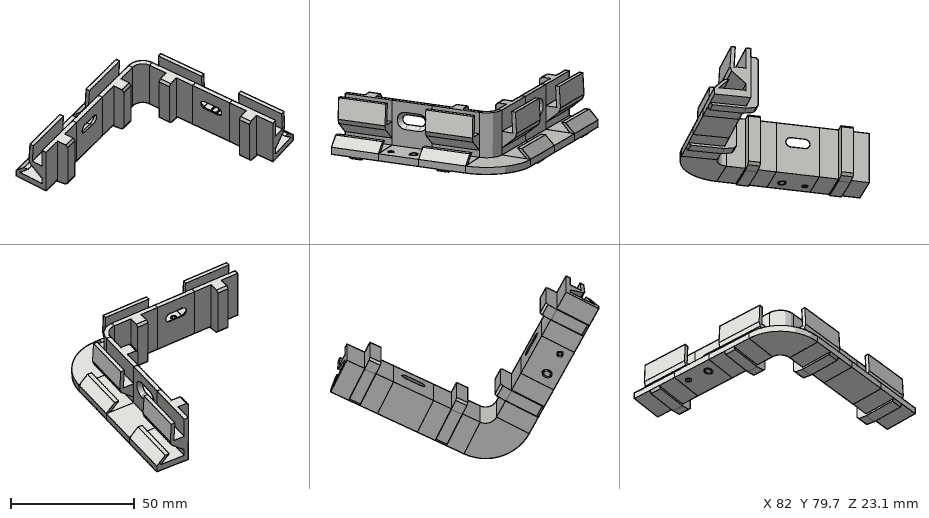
import cadquery as cq
import math

ARM_ANGLE = 92.0
OUTER_RADIUS = 20.0
INNER_RADIUS = 5.0
ARM_WIDTH = OUTER_RADIUS - INNER_RADIUS
ARM_LENGTH = 59.95
CLIP_LENGTH = 21.0
PANEL_LENGTH = ARM_LENGTH - 2 * CLIP_LENGTH

HEIGHT = 22.1
FLOOR_THICKNESS = 3.0
WALL_THICKNESS = 2.0
WALL_U = ARM_WIDTH - WALL_THICKNESS

LIP_WIDTH = 1.9
LIP_REACH = 4.0
LIP_TOP = FLOOR_THICKNESS + LIP_REACH

HOOK_TOP_U = 6.9
HOOK_WIDTH = 1.7
HOOK_LEAN = 0.5
HOOK_SLOT_FLOOR = 13.0
HOOK_HEEL_U = 7.05
HOOK_HEEL_Z = 11.1
BRACKET_ROOT_Z = 6.0

RIB_WIDTH = 5.0
RIB_DEPTH = 5.0
RIB_DROP = 1.0
RIB_CHAMFER = 1.0
RIB_TIP_DROP = 0.25

SLOT_Z = 14.0
SLOT_LENGTH = 10.0
SLOT_HEIGHT = 4.0
SINK_HEIGHT = 7.3

DISC_X = 35.6
DISC_U = 4.8
DISC_DIAMETER = 1.3
OVAL_X = 25.8
OVAL_U = 5.6
OVAL_SIZE_X = 2.2
OVAL_SIZE_Y = 2.95
ISLAND_GAP = 0.6


def extrude_section(points, start, length):
    """Extrude a closed (u, z) section along X, with the outer face of the arm at the outer radius."""
    section = [(OUTER_RADIUS - u, z) for u, z in points]
    return cq.Workplane("YZ", origin=(start, 0, 0)).polyline(section).close().extrude(length)


def floor_and_wall(start, length):
    points = [
        (0, 0),
        (ARM_WIDTH, 0),
        (ARM_WIDTH, HEIGHT),
        (WALL_U, HEIGHT),
        (WALL_U, FLOOR_THICKNESS),
        (0, FLOOR_THICKNESS),
    ]
    return extrude_section(points, start, length)


def lip(start):
    points = [
        (0, FLOOR_THICKNESS),
        (LIP_WIDTH, FLOOR_THICKNESS),
        (LIP_WIDTH + LIP_REACH, LIP_TOP),
        (LIP_REACH, LIP_TOP),
    ]
    return extrude_section(points, start, CLIP_LENGTH)


def hook(start):
    """Leaning upright on a tapered bracket, with a bevelled heel where the two meet."""
    foot_u = HOOK_TOP_U - HOOK_LEAN
    points = [
        (HOOK_TOP_U, HEIGHT),
        (HOOK_TOP_U + HOOK_WIDTH, HEIGHT),
        (foot_u + HOOK_WIDTH, HOOK_SLOT_FLOOR),
        (WALL_U, HOOK_SLOT_FLOOR),
        (WALL_U, BRACKET_ROOT_Z),
        (HOOK_HEEL_U, HOOK_HEEL_Z),
        (foot_u, HOOK_SLOT_FLOOR),
    ]
    return extrude_section(points, start, CLIP_LENGTH)


def rib(start):
    tip_u = ARM_WIDTH + RIB_DEPTH
    points = [
        (0, 0),
        (RIB_CHAMFER, -RIB_DROP),
        (ARM_WIDTH, -RIB_DROP),
        (tip_u - RIB_CHAMFER, -RIB_TIP_DROP),
        (tip_u, RIB_CHAMFER),
        (tip_u, HEIGHT - RIB_CHAMFER),
        (tip_u - RIB_CHAMFER, HEIGHT),
        (ARM_WIDTH, HEIGHT),
        (ARM_WIDTH, 0),
    ]
    return extrude_section(points, start + (CLIP_LENGTH - RIB_WIDTH) / 2, RIB_WIDTH)


def make_clip(start):
    return floor_and_wall(start, CLIP_LENGTH).union(lip(start)).union(hook(start)).union(rib(start))


def slot_cutter():
    """Obround cutter that narrows from the outer face of the wall to its inner face."""
    sink_length = SLOT_LENGTH + SINK_HEIGHT - SLOT_HEIGHT
    return (
        cq.Workplane("XZ", origin=(ARM_LENGTH / 2, INNER_RADIUS, SLOT_Z))
        .slot2D(SLOT_LENGTH, SLOT_HEIGHT)
        .workplane(offset=-WALL_THICKNESS)
        .slot2D(sink_length, SINK_HEIGHT)
        .loft(ruled=True)
    )


def make_panel():
    return floor_and_wall(CLIP_LENGTH, PANEL_LENGTH).cut(slot_cutter())


def make_disc(margin=0.0):
    """Round island, or with a margin the hole that leaves a gap around it."""
    return (
        cq.Workplane("XY", origin=(DISC_X, OUTER_RADIUS - DISC_U, 0))
        .circle(DISC_DIAMETER / 2 + margin)
        .extrude(FLOOR_THICKNESS)
    )


def make_oval(margin=0.0):
    """Oval island, or with a margin the hole that leaves a gap around it."""
    return (
        cq.Workplane("XY", origin=(OVAL_X, OUTER_RADIUS - OVAL_U, 0))
        .ellipse(OVAL_SIZE_X / 2 + margin, OVAL_SIZE_Y / 2 + margin)
        .extrude(FLOOR_THICKNESS)
    )


def bend_sector(radius, height):
    """Solid sector between the two arms, centred on the bend axis."""
    sweep = math.radians(180 - ARM_ANGLE)

    def on_arc(turn):
        return (-radius * math.sin(turn), radius * math.cos(turn))

    return (
        cq.Workplane("XY")
        .lineTo(0, radius)
        .threePointArc(on_arc(sweep / 2), on_arc(sweep))
        .close()
        .extrude(height)
    )


def make_corner():
    floor = bend_sector(OUTER_RADIUS, FLOOR_THICKNESS)
    wall = bend_sector(INNER_RADIUS + WALL_THICKNESS, HEIGHT)
    return floor.union(wall).cut(bend_sector(INNER_RADIUS, HEIGHT))


def to_second_arm(body):
    """Mirror a body of the first arm and swing it round the bend axis."""
    return body.mirror("YZ").rotate((0, 0, 0), (0, 0, 1), 180 - ARM_ANGLE)


corner = make_corner()

clips = []
for clip_start in (0, CLIP_LENGTH + PANEL_LENGTH):
    clip = make_clip(clip_start)
    clips += [clip, to_second_arm(clip)]

plain_panel = to_second_arm(make_panel())
island_panel = make_panel().cut(make_disc(ISLAND_GAP)).cut(make_oval(ISLAND_GAP))

disc = make_disc()
oval = make_oval()

bodies = [corner, *clips, plain_panel, island_panel, disc, oval]
result = cq.Compound.makeCompound([body.val() for body in bodies])